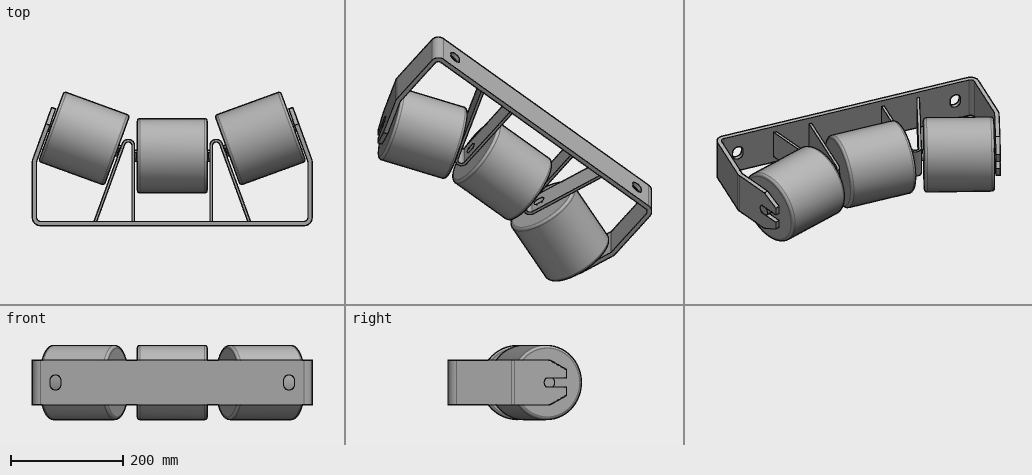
import cadquery as cq
import math


frame_height = 80.0
frame_width = 500.0
frame_thickness = 8.0
frame_bend_radius = 15.0
bracket_height = 55.0
bracket_thickness = 5.0
bracket_bend_radius = 11.5
bracket_bend_y = 143.0

roller_diameter = 133.0
roller_length = 125.0
roller_edge_radius = 5.0
middle_roller_y = 125.0
outer_roller_y = 156.0
tilt = 20.0

spindle_diameter = 20.0
spindle_flats = 16.5
shoulder_length = 2.5
bracket_gap = 4.5
frame_gap = 3.0

arm_end_y = 211.5
arm_tip_width = 47.0
arm_taper_length = 31.0
mount_slot_x = 208.5
mount_slot_width = 19.5
mount_slot_length = 27.0

sin_tilt = math.sin(math.radians(tilt))
cos_tilt = math.cos(math.radians(tilt))
along_arm = cq.Vector(sin_tilt, cos_tilt, 0)
across_arm = cq.Vector(cos_tilt, -sin_tilt, 0)

bracket_face = roller_length / 2 + bracket_gap
frame_face = roller_length / 2 + frame_gap
bracket_reach = bracket_face + bracket_thickness
frame_reach = frame_face + frame_thickness

bracket_bend = cq.Vector(-bracket_face - bracket_bend_radius, bracket_bend_y, 0)
roller_offset = bracket_bend.dot(across_arm) - bracket_bend_radius - bracket_face
outer_roller_x = (roller_offset + outer_roller_y * sin_tilt) / cos_tilt
arm_bend_x = -frame_width / 2 + frame_bend_radius
arm_outer_offset = roller_offset - frame_reach
arm_bend_y = (arm_bend_x * cos_tilt - frame_bend_radius - arm_outer_offset) / sin_tilt
arm_bend = cq.Vector(arm_bend_x, arm_bend_y, 0)


def on_bend(center, radius, angle):
    """Point on a bend, with the angle in degrees counterclockwise from +X."""
    turn = math.radians(angle)
    return center + cq.Vector(radius * math.cos(turn), radius * math.sin(turn), 0)


def mirrored(body):
    return body.mirror("YZ")


def place_left(body):
    """Move a body from the X axis to the axis of the left roller."""
    return body.rotate((0, 0, 0), (0, 0, 1), -tilt).translate((outer_roller_x, outer_roller_y, 0))


def place_middle(body):
    return body.translate((0, middle_roller_y, 0))


def round_bar(diameter, start, end):
    """Cylinder along X."""
    return cq.Workplane("YZ", origin=(start, 0, 0)).circle(diameter / 2).extrude(end - start)


def flatted_bar(start, end):
    """Round bar along X with flats above and below."""
    bar = round_bar(spindle_diameter, start, end)
    flats = cq.Workplane("XY").box(
        end - start, spindle_diameter, spindle_flats, centered=(False, True, True)
    )
    return bar.intersect(flats.translate((start, 0, 0)))


def roller(left_reach, right_reach):
    """Roller along X with a round shoulder and a flatted spindle end on each side."""
    drum = round_bar(roller_diameter, -roller_length / 2, roller_length / 2)
    drum = drum.faces("<X or >X").edges().fillet(roller_edge_radius)
    shoulder_reach = roller_length / 2 + shoulder_length
    shoulders = round_bar(spindle_diameter, -shoulder_reach, shoulder_reach)
    return drum.union(shoulders).union(flatted_bar(-left_reach, right_reach))


def frame_half():
    """Left half of the frame without its holes."""
    outer = frame_bend_radius
    inner = frame_bend_radius - frame_thickness
    base_bend = cq.Vector(arm_bend_x, frame_bend_radius, 0)
    arm_start = on_bend(arm_bend, outer, 180 - tilt)
    arm_length = (arm_end_y - arm_start.y) / cos_tilt
    tip_outer = arm_start + along_arm * arm_length
    tip_inner = tip_outer + across_arm * frame_thickness
    strip = (
        cq.Workplane("XY")
        .lineTo(base_bend.x, 0)
        .threePointArc(on_bend(base_bend, outer, 225), on_bend(base_bend, outer, 180))
        .lineTo(-frame_width / 2, arm_bend.y)
        .threePointArc(on_bend(arm_bend, outer, 180 - tilt / 2), arm_start)
        .lineTo(tip_outer.x, tip_outer.y)
        .lineTo(tip_inner.x, tip_inner.y)
        .lineTo(*on_bend(arm_bend, inner, 180 - tilt).toTuple()[:2])
        .threePointArc(on_bend(arm_bend, inner, 180 - tilt / 2), on_bend(arm_bend, inner, 180))
        .lineTo(-frame_width / 2 + frame_thickness, base_bend.y)
        .threePointArc(on_bend(base_bend, inner, 225), on_bend(base_bend, inner, 270))
        .lineTo(0, frame_thickness)
        .close()
        .extrude(frame_height)
        .translate((0, 0, -frame_height / 2))
    )
    tip_plane = cq.Plane(origin=tip_outer, xDir=along_arm, normal=across_arm)
    corner = [
        (-arm_taper_length, frame_height / 2),
        (0, arm_tip_width / 2),
        (0, frame_height / 2),
    ]
    for side in (1, -1):
        points = [(x, side * y) for x, y in corner]
        strip = strip.cut(cq.Workplane(tip_plane).polyline(points).close().extrude(frame_thickness))
    return strip


def spindle_slot():
    """Slot along the left arm, open at its tip, with the spindle seated at its bottom."""
    seat = flatted_bar(-frame_reach, -frame_face)
    mouth = cq.Workplane("XY").box(
        frame_thickness, roller_length, spindle_flats, centered=(False, False, True)
    )
    return place_left(seat.union(mouth.translate((-frame_reach, 0, 0))))


def make_frame():
    half = frame_half().cut(spindle_slot())
    mount_slots = (
        cq.Workplane("XZ")
        .pushPoints([(-mount_slot_x, 0), (mount_slot_x, 0)])
        .slot2D(mount_slot_length, mount_slot_width, 90)
        .extrude(-frame_thickness)
    )
    return half.union(mirrored(half)).cut(mount_slots)


def make_left_bracket():
    """Strip bent to a hairpin, one leg upright and one leg parallel to the left arm."""
    outer = bracket_bend_radius
    inner = bracket_bend_radius - bracket_thickness
    slant_angle = 180 - tilt
    top_angle = slant_angle / 2
    slant_outer = on_bend(bracket_bend, outer, slant_angle)
    slant_inner = on_bend(bracket_bend, inner, slant_angle)
    slope = sin_tilt / cos_tilt
    foot_outer_x = slant_outer.x - (slant_outer.y - frame_thickness) * slope
    foot_inner_x = slant_inner.x - (slant_inner.y - frame_thickness) * slope
    strip = (
        cq.Workplane("XY")
        .moveTo(bracket_bend.x + outer, frame_thickness)
        .lineTo(bracket_bend.x + outer, bracket_bend.y)
        .threePointArc(on_bend(bracket_bend, outer, top_angle), slant_outer)
        .lineTo(foot_outer_x, frame_thickness)
        .lineTo(foot_inner_x, frame_thickness)
        .lineTo(slant_inner.x, slant_inner.y)
        .threePointArc(on_bend(bracket_bend, inner, top_angle), on_bend(bracket_bend, inner, 0))
        .lineTo(bracket_bend.x + inner, frame_thickness)
        .close()
        .extrude(bracket_height)
        .translate((0, 0, -bracket_height / 2))
    )
    middle_hole = place_middle(flatted_bar(-bracket_reach, -bracket_face))
    outer_hole = place_left(flatted_bar(bracket_face, bracket_reach))
    return strip.cut(middle_hole).cut(outer_hole)


frame = make_frame()

left_bracket = make_left_bracket()
brackets = [left_bracket, mirrored(left_bracket)]

left_roller = place_left(roller(frame_reach, bracket_reach))
middle_roller = place_middle(roller(bracket_reach, bracket_reach))
rollers = [left_roller, middle_roller, mirrored(left_roller)]

bodies = [frame, *brackets, *rollers]
result = cq.Compound.makeCompound([body.solids().val() for body in bodies])